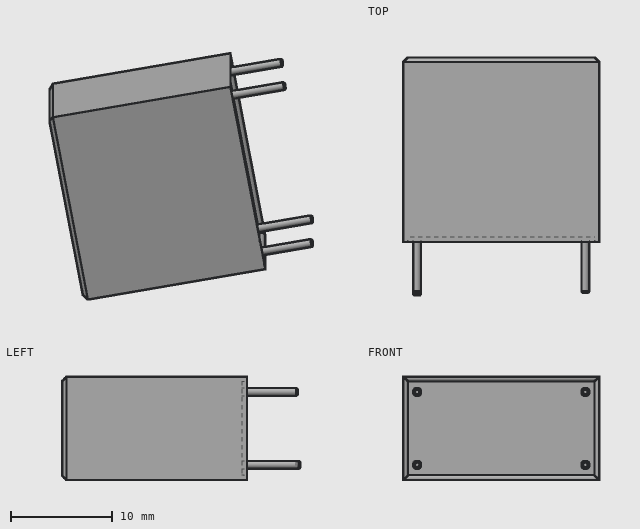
import cadquery as cq
import math

case_width = 19.3
case_height = 10.2
total_length = 23.45
back_chamfer = 0.45

rim_width = 0.16
rim_radius = 0.33
recess_depth = 0.5

pin_diameter = 0.8
pin_pitch_x = 16.55
pin_pitch_z = 7.18
pin_chamfer = 0.16
long_pin_reach = 5.25
short_pin_reach = 5.0

case_length = total_length - long_pin_reach


def make_case():
    """Solid block with a chamfered back end."""
    block = cq.Workplane("XY").box(case_width, case_length, case_height, centered=(True, False, True))
    return block.faces(">Y").edges().chamfer(back_chamfer)


def make_recess():
    """Volume removed from the open end: straight walls, then a mouth flaring along a convex quarter round.

    Each pair of opposite rounded edges belongs to one prism; the mitred recess is where both overlap.
    """
    flare_x = flared_profile("XY", case_width).extrude(case_height / 2, both=True)
    flare_z = flared_profile("ZY", case_height).extrude(case_width / 2, both=True)
    return flare_x.intersect(flare_z)


def flared_profile(plane, case_size):
    """Cross-section of the recess across one direction of the case."""
    mouth = case_size / 2 - rim_width
    wall = mouth - rim_radius
    half_arc = rim_radius * math.sqrt(0.5)
    return (
        cq.Workplane(plane)
        .moveTo(-mouth, 0)
        .lineTo(mouth, 0)
        .threePointArc((mouth - half_arc, rim_radius - half_arc), (wall, rim_radius))
        .lineTo(wall, recess_depth)
        .lineTo(-wall, recess_depth)
        .lineTo(-wall, rim_radius)
        .threePointArc((half_arc - mouth, rim_radius - half_arc), (-mouth, 0))
        .close()
    )


def make_pin(x, z, reach):
    """Pin with a chamfered tip, running from the recess floor to Y = -reach."""
    pin = (
        cq.Workplane("XZ", origin=(x, recess_depth, z))
        .circle(pin_diameter / 2)
        .extrude(recess_depth + reach)
    )
    return pin.faces("<Y").edges().chamfer(pin_chamfer)


result = make_case().cut(make_recess())
for x_side in (-1, 1):
    for z_side in (-1, 1):
        is_long = x_side < 0 and z_side < 0
        reach = long_pin_reach if is_long else short_pin_reach
        result = result.union(make_pin(x_side * pin_pitch_x / 2, z_side * pin_pitch_z / 2, reach))